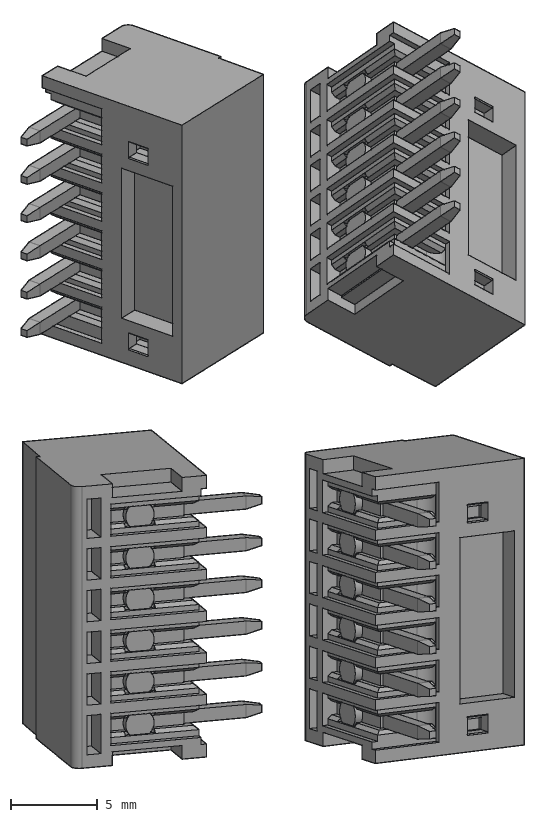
import cadquery as cq


width = 10.1
depth = 8.1
height = 16.9
half_height = height / 2
corner_radius = 0.5
rear_step_x = 6.83
rear_step_y = 7.88
rear_end_y = 7.82

contact_count = 6
pitch = 2.5
contact_levels = [(i - (contact_count - 1) / 2) * pitch for i in range(contact_count)]

slot_length_x = 4.31
slot_length_y = 5.83
slot_height = 1.88
step_x = 0.37
step_y = 0.34
front_end_extra = 0.47
side_end_extra = 0.05

groove_mouth_height = 1.23
groove_height = 0.81
bevel_depth = 0.27
groove_floor_x = 1.0
groove_floor_y = 1.05
groove_fillet = 0.85

boss_radius = 0.86
boss_y = 3.89
boss_face_x = 0.5
boss_relief_length = 1.83

pin_size = 0.8
pin_x = 1.55
pin_tip_size = 0.44
pin_shoulder_y = -2.79
pin_end_y = -3.8

pocket_y_min = 6.44
pocket_y_max = 7.27
pocket_depth = 1.69

notch_depth_x = 2.06
notch_y_min = 1.49
notch_y_max = 5.73
notch_depth_z = 0.83
ledge_height = 0.12
ledge_start_x = notch_depth_x / 2

recess_x_min = 5.75
recess_x_max = 9.43
recess_height = 9.8
recess_depth = 1.25
pin_side_shift = -0.66
window_x_min = 6.25
window_x_max = 7.64
window_height = 0.98
window_lip = 0.07
window_depth = 0.76
chamber_side = 0.34
chamber_drop = 0.14
chamber_ceiling = 0.27
chamber_depth = 0.76


def box(x_min, x_max, y_min, y_max, z_min, z_max):
    size = (x_max - x_min, y_max - y_min, z_max - z_min)
    return cq.Workplane("XY").box(*size, centered=False).translate((x_min, y_min, z_min))


def make_housing():
    outline = (
        cq.Workplane("XY")
        .workplane(offset=-half_height)
        .polyline([
            (0, 0),
            (width, 0),
            (width, rear_end_y),
            (rear_step_x, rear_step_y),
            (rear_step_x, depth),
            (0, depth),
        ])
        .close()
        .extrude(height)
    )
    return outline.edges("|Z and <X and >Y").fillet(corner_radius)


def slot_limits(z, end_extra):
    """Z range of a slot; the first and last slots reach further towards the ends."""
    z_min = z - slot_height / 2
    z_max = z + slot_height / 2
    if z == contact_levels[0]:
        z_min -= end_extra
    if z == contact_levels[-1]:
        z_max += end_extra
    return z_min, z_max


def groove_profile(z, tall):
    """L-shaped groove volume, with a concave fillet at its far end along X."""
    arc_start = (slot_length_x, groove_floor_y - groove_fillet)
    arc_end = (slot_length_x - groove_fillet, groove_floor_y)
    return (
        cq.Workplane("XY")
        .workplane(offset=z - tall / 2)
        .lineTo(slot_length_x, 0)
        .lineTo(*arc_start)
        .radiusArc(arc_end, -groove_fillet)
        .lineTo(groove_floor_x, groove_floor_y)
        .lineTo(groove_floor_x, slot_length_y)
        .lineTo(0, slot_length_y)
        .close()
        .extrude(tall)
    )


def bevel_section(start):
    """Corners of the tapering groove mouth as (distance into the wall, height) pairs."""
    mouth = groove_mouth_height / 2
    narrow = groove_height / 2
    end = start + bevel_depth
    return [(start, -mouth), (end, -narrow), (end, narrow), (start, mouth)]


def make_groove(z):
    pin_side_mouth = cq.Workplane("YZ").polyline(bevel_section(step_y)).close().extrude(slot_length_x)
    left_side_mouth = cq.Workplane("XZ").polyline(bevel_section(step_x)).close().extrude(-slot_length_y)
    mouth = pin_side_mouth.union(left_side_mouth).translate((0, 0, z))
    mouth = mouth.intersect(groove_profile(z, groove_mouth_height))
    return groove_profile(z, groove_height).union(mouth)


def make_boss(z):
    return (
        cq.Workplane("YZ", origin=(boss_face_x, boss_y, z))
        .circle(boss_radius)
        .extrude(groove_floor_x - boss_face_x)
    )


def make_boss_relief(z):
    """Rectangular notch through the bevels on both sides of the boss."""
    y_min = boss_y - boss_relief_length / 2
    y_max = boss_y + boss_relief_length / 2
    half = groove_mouth_height / 2
    return box(step_x, step_x + bevel_depth, y_min, y_max, z - half, z + half)


def make_slot(z):
    pin_side = box(0, slot_length_x, 0, step_y, *slot_limits(z, front_end_extra))
    left_side = box(0, step_x, step_y, slot_length_y, *slot_limits(z, side_end_extra))
    groove = make_groove(z).union(make_boss_relief(z)).cut(make_boss(z))
    return groove.union(pin_side).union(left_side)


def make_pocket(z):
    return box(0, pocket_depth, pocket_y_min, pocket_y_max, *slot_limits(z, front_end_extra))


def make_pin(z):
    shank = (
        cq.Workplane("XZ", origin=(pin_x, groove_floor_y, z))
        .rect(pin_size, pin_size)
        .extrude(groove_floor_y - pin_shoulder_y)
    )
    tip = (
        cq.Workplane("XZ", origin=(pin_x, pin_shoulder_y, z))
        .rect(pin_size, pin_size)
        .workplane(offset=pin_shoulder_y - pin_end_y)
        .rect(pin_tip_size, pin_tip_size)
        .loft()
    )
    return shank.union(tip)


def make_notches():
    floor = half_height - notch_depth_z
    top = box(0, notch_depth_x, notch_y_min, notch_y_max, floor, half_height)
    bottom = box(0, notch_depth_x, notch_y_min, notch_y_max, -half_height, -floor)
    ledge = box(ledge_start_x, notch_depth_x, notch_y_min, notch_y_max, -floor - ledge_height, -floor)
    return top.union(bottom.cut(ledge))


def make_recess():
    z_min = pin_side_shift - recess_height / 2
    return box(recess_x_min, recess_x_max, 0, recess_depth, z_min, z_min + recess_height)


def make_window(z):
    """Window with bevelled upper and lower lips, opening into a wider chamber."""
    half = window_height / 2
    opening = (
        cq.Workplane("YZ", origin=(window_x_min, 0, z))
        .polyline([
            (0, -half - window_lip),
            (window_lip, -half),
            (window_depth, -half),
            (window_depth, half),
            (window_lip, half),
            (0, half + window_lip),
        ])
        .close()
        .extrude(window_x_max - window_x_min)
    )
    chamber = box(
        window_x_min - chamber_side,
        window_x_max + chamber_side,
        window_depth,
        window_depth + chamber_depth,
        z - half - chamber_drop,
        z + half - chamber_ceiling,
    )
    return opening.union(chamber)


result = make_housing().cut(make_notches()).cut(make_recess())

for level in (contact_levels[0], contact_levels[-1]):
    result = result.cut(make_window(level + pin_side_shift))

for level in contact_levels:
    result = result.cut(make_slot(level)).cut(make_pocket(level))

for level in contact_levels:
    result = result.union(make_pin(level))